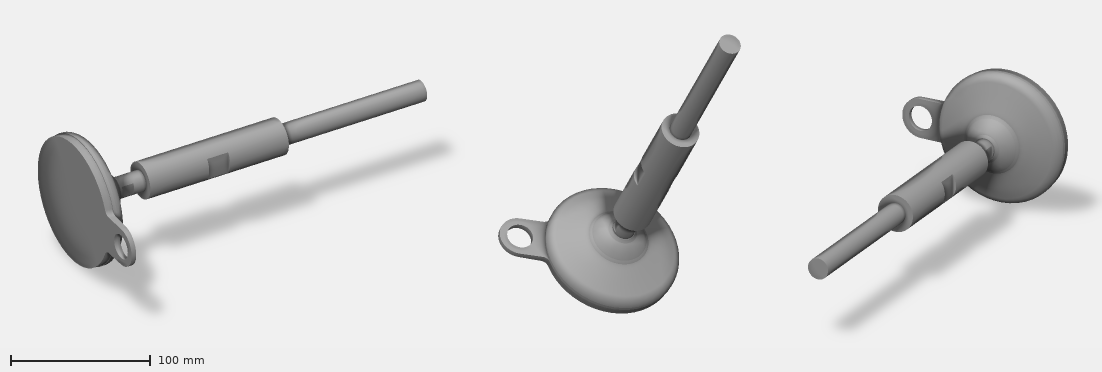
import cadquery as cq
import math

TOTAL_LENGTH = 290.0

ROD_RADIUS = 8.0
ROD_END = 23.5
ROD_FLAT_HALF_WIDTH = 6.7
ROD_FLAT_START = 36.8
ROD_FLAT_LENGTH = 9.5

SLEEVE_RADIUS = 14.2
SLEEVE_START = 56.3
SLEEVE_LENGTH = 115.0
SLEEVE_FLAT_HALF_WIDTH = 11.3
SLEEVE_FLAT_LENGTH = 17.5
SLEEVE_FLAT_START = SLEEVE_START + (SLEEVE_LENGTH - SLEEVE_FLAT_LENGTH) / 2

BAND_RADIUS = 49.3
BAND_HEIGHT = 6.0
FOOT_RADIUS = 50.02
BEAD_TOP = 8.7
SHOULDER_RADIUS = 43.8
SHOULDER_HEIGHT = 15.7
SHOULDER_BULGE_RADIUS = 48.5
SHOULDER_BULGE_HEIGHT = 12.5
CONE_TOP_RADIUS = 22.3
CONE_TOP_HEIGHT = 23.5
DOME_RADIUS = 20.3
DOME_START = 25.2
DOME_BULGE_RADIUS = 16.0
DOME_BULGE_HEIGHT = 30.2
DOME_TOP_RADIUS = 10.7
DOME_TOP = 33.4
TIP_RADIUS = 8.7
TIP_HEIGHT = 35.0

TAB_RADIUS = 15.0
TAB_TIP = 83.08
TAB_CENTER = TAB_TIP - TAB_RADIUS
TAB_HOLE_RADIUS = 9.5
TAB_ROOT_FILLET = 5.8
TAB_ROOT_X = 46.5
TAB_ROOT_THICKNESS = 5.5
TAB_TIP_THICKNESS = 3.8


def cylinder(radius, start, length, x=0.0):
    """Cylinder along +Y, starting at Y = start."""
    return cq.Workplane("XZ", origin=(x, start, 0)).circle(radius).extrude(-length)


def cut_flats(body, radius, half_width, start, length):
    """Mill two opposite flats, facing -X and +X, into a round body."""
    depth = radius - half_width
    for side in (-1, 1):
        cutter = cq.Workplane("XY").box(depth, length, 2 * radius)
        body = body.cut(cutter.translate((side * (half_width + depth / 2), start + length / 2, 0)))
    return body


def make_spindle():
    rod = cylinder(ROD_RADIUS, ROD_END, TOTAL_LENGTH - ROD_END)
    return cut_flats(rod, ROD_RADIUS, ROD_FLAT_HALF_WIDTH, ROD_FLAT_START, ROD_FLAT_LENGTH)


def make_sleeve():
    sleeve = cylinder(SLEEVE_RADIUS, SLEEVE_START, SLEEVE_LENGTH)
    sleeve = cut_flats(
        sleeve, SLEEVE_RADIUS, SLEEVE_FLAT_HALF_WIDTH, SLEEVE_FLAT_START, SLEEVE_FLAT_LENGTH
    )
    return sleeve.cut(cylinder(ROD_RADIUS, SLEEVE_START, SLEEVE_LENGTH))


def make_foot_dish():
    return (
        cq.Workplane("XY")
        .moveTo(0, 0)
        .lineTo(BAND_RADIUS, 0)
        .lineTo(BAND_RADIUS, BAND_HEIGHT)
        .lineTo(FOOT_RADIUS, BAND_HEIGHT)
        .lineTo(FOOT_RADIUS, BEAD_TOP)
        .threePointArc((SHOULDER_BULGE_RADIUS, SHOULDER_BULGE_HEIGHT), (SHOULDER_RADIUS, SHOULDER_HEIGHT))
        .lineTo(CONE_TOP_RADIUS, CONE_TOP_HEIGHT)
        .lineTo(DOME_RADIUS, DOME_START)
        .threePointArc((DOME_BULGE_RADIUS, DOME_BULGE_HEIGHT), (DOME_TOP_RADIUS, DOME_TOP))
        .lineTo(TIP_RADIUS, TIP_HEIGHT)
        .lineTo(0, TIP_HEIGHT)
        .close()
        .revolve(360, (0, 0, 0), (0, 1, 0))
    )


def make_tab():
    """Round-ended tab with filleted roots, its upper face sloping down toward the tip."""
    fillet_z = TAB_RADIUS + TAB_ROOT_FILLET
    fillet_distance = BAND_RADIUS + TAB_ROOT_FILLET
    fillet_x = math.sqrt(fillet_distance**2 - fillet_z**2)
    touch_x = fillet_x * BAND_RADIUS / fillet_distance
    touch_z = fillet_z * BAND_RADIUS / fillet_distance

    outline = (
        cq.Workplane("XZ")
        .moveTo(0, -touch_z)
        .lineTo(touch_x, -touch_z)
        .radiusArc((fillet_x, -TAB_RADIUS), TAB_ROOT_FILLET)
        .lineTo(TAB_CENTER, -TAB_RADIUS)
        .threePointArc((TAB_TIP, 0), (TAB_CENTER, TAB_RADIUS))
        .lineTo(fillet_x, TAB_RADIUS)
        .radiusArc((touch_x, touch_z), TAB_ROOT_FILLET)
        .lineTo(0, touch_z)
        .close()
        .extrude(-TAB_ROOT_THICKNESS)
    )
    side_profile = (
        cq.Workplane("XY")
        .moveTo(0, 0)
        .lineTo(TAB_TIP, 0)
        .lineTo(TAB_TIP, TAB_TIP_THICKNESS)
        .lineTo(TAB_ROOT_X, TAB_ROOT_THICKNESS)
        .lineTo(0, TAB_ROOT_THICKNESS)
        .close()
        .extrude(touch_z, both=True)
    )
    hole = cylinder(TAB_HOLE_RADIUS, 0, TAB_ROOT_THICKNESS, TAB_CENTER)
    return outline.intersect(side_profile).cut(hole)


def make_foot():
    socket = cylinder(ROD_RADIUS, ROD_END, TIP_HEIGHT - ROD_END)
    return make_foot_dish().union(make_tab()).cut(socket)


spindle = make_spindle()
sleeve = make_sleeve()
foot = make_foot()

result = cq.Compound.makeCompound([body.solids().val() for body in (spindle, sleeve, foot)])